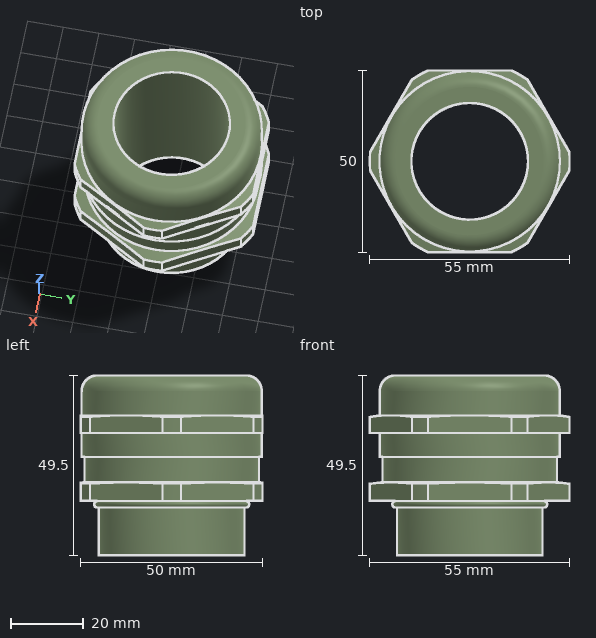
import cadquery as cq
import math

height = 49.5
cap_radius = 24.8
cap_edge_radius = 4.4
neck_radius = 24.05
thread_radius = 20.1
bore_radius = 16.0

seal_bottom = 13.1
seal_top = 14.95
lower_hex_top = 20.15
cap_bottom = 27.05
upper_hex_bottom = 33.6
upper_hex_top = 38.5

seal_radius = 21.35

across_flats = 50.0
corner_diameter = 55.0
hex_chamfer_drop = 0.45


def cylinder(radius, bottom, top):
    return cq.Workplane("XY").workplane(offset=bottom).circle(radius).extrude(top - bottom)


def round_rim_ring(radius, bottom, top):
    """Solid disc whose rim is a half circle spanning its whole thickness."""
    rim_center_radius = radius - (top - bottom) / 2
    return (
        cq.Workplane("XZ")
        .moveTo(0, bottom)
        .lineTo(rim_center_radius, bottom)
        .threePointArc((radius, (bottom + top) / 2), (rim_center_radius, top))
        .lineTo(0, top)
        .close()
        .revolve(360, (0, 0, 0), (0, 1, 0))
    )


def hexagon(bottom, top, chamfer_start_radius):
    """Hexagonal flange with turned corners and a shallow conical top edge."""
    sharp_corners = across_flats / math.cos(math.pi / 6)
    flange = cq.Workplane("XY").workplane(offset=bottom).polygon(6, sharp_corners).extrude(top - bottom)
    corner_radius = corner_diameter / 2
    turned_blank = (
        cq.Workplane("XZ")
        .moveTo(0, bottom)
        .lineTo(corner_radius, bottom)
        .lineTo(corner_radius, top - hex_chamfer_drop)
        .lineTo(chamfer_start_radius, top)
        .lineTo(0, top)
        .close()
        .revolve(360, (0, 0, 0), (0, 1, 0))
    )
    return flange.intersect(turned_blank)


thread = cylinder(thread_radius, 0, seal_top)
seal = round_rim_ring(seal_radius, seal_bottom, seal_top)
neck = cylinder(neck_radius, seal_top, cap_bottom)
cap = cylinder(cap_radius, cap_bottom, height).faces(">Z").edges().fillet(cap_edge_radius)
lower_hex = hexagon(seal_top, lower_hex_top, neck_radius)
upper_hex = hexagon(upper_hex_bottom, upper_hex_top, cap_radius)
bore = cylinder(bore_radius, 0, height)

result = thread.union(seal).union(neck).union(cap).union(lower_hex).union(upper_hex).cut(bore)